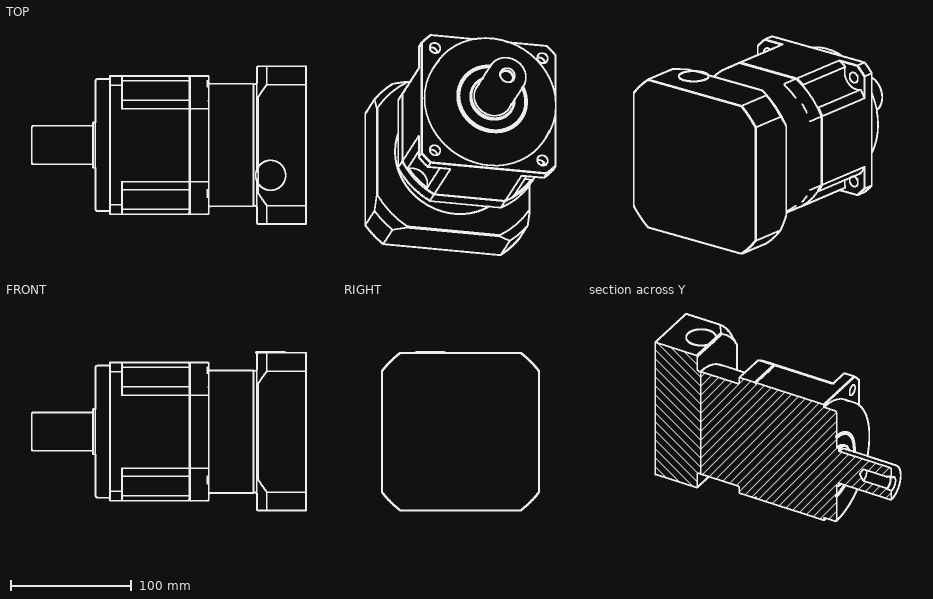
import cadquery as cq
import math


SHAFT_STEP_X = 50.6
PILOT_X = 53.0
FLANGE_X = 65.0
BODY_X = 75.2
RING_X = 130.6
BARREL_X = 147.0
JOINT_X = 184.2
BLOCK_X = 187.0
END_X = 228.0

SHAFT_D = 32.1
SHAFT_ROUND = 1.5
COLLAR_D = 37.8
COLLAR_CHAMFER = 0.7
CENTRE_HOLE_D = 11.0
CENTRE_HOLE_DEPTH = 27.4
CENTRE_BORE_D = 12.5
CENTRE_BORE_DEPTH = 4.5
DRILL_POINT_ANGLE = 118
SEAL_D = 58.0
SEAL_GROOVE_D = 59.7
SEAL_GROOVE_DEPTH = 1.0

HOUSING_SIDE = 115.0
FLANGE_CORNER_D = 151.8
BODY_CORNER_D = 130.0
PILOT_D = 110.0
PILOT_ROUND = 2.0
FLANGE_CHAMFER = 0.5
RING_CHAMFER = 1.1
RING_ROUND = 1.1
BARREL_D = 102.0
BARREL_FILLET = 1.1
BARREL_CHAMFER = 0.5
BOLT_CIRCLE_D = 130.0
BOLT_HOLE_D = 9.0
SCALLOP_D = 25.0
SCALLOP_CIRCLE_D = 137.7

BLOCK_SIDE = 131.0
BLOCK_CORNER_D = 165.0
BLOCK_FACE_D = 151.8
BLOCK_TAPER_LENGTH = 8.2
BLOCK_CHAMFER = 1.0
REAR_CHAMFER = 0.5
NECK_D = 101.2
NECK_FILLET = 1.4

CAP_X = 198.4
CAP_Y = -25.0
CAP_D = 24.9
CAP_TOP_D = 14.0
CAP_RIM = 0.5
CAP_HEIGHT = 1.0


def disc(diameter, start, end):
    """Cylinder about the X axis from start to end."""
    return cq.Workplane("YZ", origin=(start, 0, 0)).circle(diameter / 2).extrude(end - start)


def round_cornered_block(side, corner_diameter, start, end):
    """Square prism along X whose corners lie on a cylinder about the X axis."""
    square = cq.Workplane("YZ", origin=(start, 0, 0)).rect(side, side).extrude(end - start)
    return square.intersect(disc(corner_diameter, start, end))


def corner_cylinders(diameter, circle_diameter, start, end):
    """Four cylinders along X, centred on the diagonals at the given circle."""
    offset = circle_diameter / 2 / math.sqrt(2)
    points = [(y, z) for y in (-offset, offset) for z in (-offset, offset)]
    plane = cq.Workplane("YZ", origin=(start, 0, 0))
    return plane.pushPoints(points).circle(diameter / 2).extrude(end - start)


def make_shaft():
    shaft = disc(SHAFT_D, 0, SHAFT_STEP_X).faces("<X").edges().fillet(SHAFT_ROUND)
    collar = disc(COLLAR_D, SHAFT_STEP_X, PILOT_X).faces("<X").edges().chamfer(COLLAR_CHAMFER)
    return shaft.union(collar)


def make_centre_hole():
    """Stepped blind hole with a drill point in the shaft end."""
    radius = CENTRE_HOLE_D / 2
    bore_radius = CENTRE_BORE_D / 2
    point_depth = radius / math.tan(math.radians(DRILL_POINT_ANGLE / 2))
    profile = (
        cq.Workplane("XY")
        .moveTo(0, 0)
        .lineTo(0, bore_radius)
        .lineTo(CENTRE_BORE_DEPTH, bore_radius)
        .lineTo(CENTRE_BORE_DEPTH, radius)
        .lineTo(CENTRE_HOLE_DEPTH, radius)
        .lineTo(CENTRE_HOLE_DEPTH + point_depth, 0)
        .close()
    )
    return profile.revolve(360, (0, 0, 0), (1, 0, 0))


def make_seal_groove():
    """Ring groove around the seal, whose outer edge is chamfered."""
    floor_x = PILOT_X + SEAL_GROOVE_DEPTH
    profile = (
        cq.Workplane("XY")
        .moveTo(PILOT_X, SEAL_D / 2 - SEAL_GROOVE_DEPTH)
        .lineTo(floor_x, SEAL_D / 2)
        .lineTo(floor_x, SEAL_GROOVE_D / 2)
        .lineTo(PILOT_X, SEAL_GROOVE_D / 2)
        .close()
    )
    return profile.revolve(360, (0, 0, 0), (1, 0, 0))


def make_housing():
    """Front flange, scalloped body and rear ring, without the barrel."""
    pilot = disc(PILOT_D, PILOT_X, FLANGE_X).faces("<X").edges().fillet(PILOT_ROUND)
    flange = round_cornered_block(HOUSING_SIDE, FLANGE_CORNER_D, FLANGE_X, BODY_X)
    flange = flange.faces("<X or >X").edges().chamfer(FLANGE_CHAMFER)
    flange = flange.cut(corner_cylinders(BOLT_HOLE_D, BOLT_CIRCLE_D, FLANGE_X, BODY_X))
    body_start = BODY_X - FLANGE_CHAMFER
    body = round_cornered_block(HOUSING_SIDE, BODY_CORNER_D, body_start, RING_X)
    body = body.cut(corner_cylinders(SCALLOP_D, SCALLOP_CIRCLE_D, body_start, RING_X))
    ring = round_cornered_block(HOUSING_SIDE, BODY_CORNER_D, RING_X, BARREL_X)
    ring = ring.faces("<X").edges().chamfer(RING_CHAMFER)
    ring = ring.faces(">X").edges().fillet(RING_ROUND)
    return pilot.union(flange).union(body).union(ring)


def make_barrel():
    """Round ring-gear barrel, filleted into the housing's rear face."""
    barrel = disc(BARREL_D, BARREL_X, JOINT_X).faces(">X").edges().chamfer(BARREL_CHAMFER)
    return barrel.union(flared_root(BARREL_D, BARREL_FILLET, BARREL_X, 1))


def flared_root(diameter, radius, face_x, direction):
    """Solid of a neck root: a concave fillet standing on a face, grown along +X or -X."""
    neck_radius = diameter / 2
    tip_x = face_x + direction * radius
    arc_offset = radius * (1 - math.sqrt(0.5))
    profile = (
        cq.Workplane("XY")
        .moveTo(face_x, 0)
        .lineTo(face_x, neck_radius + radius)
        .threePointArc(
            (face_x + direction * arc_offset, neck_radius + arc_offset),
            (tip_x, neck_radius),
        )
        .lineTo(tip_x, 0)
        .close()
    )
    return profile.revolve(360, (0, 0, 0), (1, 0, 0))


def make_gearbox():
    gearbox = make_shaft().union(make_housing()).union(make_barrel())
    return gearbox.cut(make_centre_hole()).cut(make_seal_groove())


def make_adapter_block():
    """Square block with cylindrical corners that taper towards the front face."""
    length = END_X - BLOCK_X
    square = cq.Workplane("YZ", origin=(BLOCK_X, 0, 0)).rect(BLOCK_SIDE, BLOCK_SIDE).extrude(length)
    square = square.faces("<X").edges().chamfer(BLOCK_CHAMFER)
    corner_envelope = (
        cq.Workplane("XY")
        .moveTo(BLOCK_X, 0)
        .lineTo(BLOCK_X, BLOCK_FACE_D / 2)
        .lineTo(BLOCK_X + BLOCK_TAPER_LENGTH, BLOCK_CORNER_D / 2)
        .lineTo(END_X, BLOCK_CORNER_D / 2)
        .lineTo(END_X, 0)
        .close()
        .revolve(360, (0, 0, 0), (1, 0, 0))
    )
    return square.intersect(corner_envelope).faces(">X").edges().chamfer(REAR_CHAMFER)


def make_plug_cap():
    """Low cap with a thin rim, a conical shoulder and a flat top."""
    base_z = BLOCK_SIDE / 2
    profile = (
        cq.Workplane("XZ", origin=(CAP_X, CAP_Y, base_z))
        .moveTo(0, 0)
        .lineTo(CAP_D / 2, 0)
        .lineTo(CAP_D / 2, CAP_RIM)
        .lineTo(CAP_TOP_D / 2, CAP_HEIGHT)
        .lineTo(0, CAP_HEIGHT)
        .close()
    )
    return profile.revolve(360, (0, 0, 0), (0, 1, 0))


def make_motor_adapter():
    neck = disc(NECK_D, JOINT_X, BLOCK_X)
    root = flared_root(NECK_D, NECK_FILLET, BLOCK_X, -1)
    return make_adapter_block().union(neck).union(root).union(make_plug_cap())


gearbox = make_gearbox()
motor_adapter = make_motor_adapter()

result = cq.Compound.makeCompound([gearbox.val(), motor_adapter.val()])